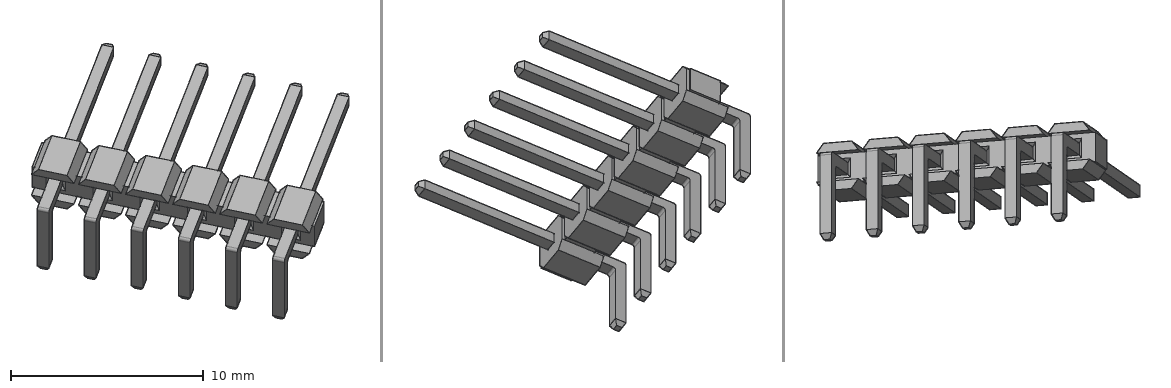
import cadquery as cq

pin_count = 6
row_length = 15.24
pitch = row_length / pin_count

bar_depth = 1.8
bar_height = 1.55

block_height = pitch
block_width = 2.3
block_flat = 1.54
block_rear_step = 0.17
block_depth = 2.51
block_rear = bar_depth + block_rear_step
block_front = block_rear - block_depth

pin_size = 0.64
pin_rear_length = 8.08
pin_total_depth = 12.42
overall_height = 5.6
bend_outer_radius = 0.15
bend_inner_radius = 0.15
tip_length = 0.3
tip_size = 0.34

pin_rear = block_rear + pin_rear_length
pin_front = pin_rear - pin_total_depth
pin_top = pin_size / 2
pin_bottom = block_height / 2 - overall_height

mouth_depth = 0.2
mouth_size = pin_size + 2 * mouth_depth

pin_places = [(i - (pin_count - 1) / 2) * pitch for i in range(pin_count)]


def taper(plane, start_size, end_size, length):
    """Square frustum that starts on the plane and runs along its normal."""
    return (
        cq.Workplane(plane)
        .rect(start_size, start_size)
        .workplane(offset=length)
        .rect(end_size, end_size)
        .loft()
    )


def make_block(x):
    """Octagonal block with its front lips reaching over and under the bar."""
    half_flat = block_flat / 2
    half_width = block_width / 2
    half_height = block_height / 2
    half_bar = bar_height / 2
    octagon = [
        (-half_flat, half_height),
        (half_flat, half_height),
        (half_width, half_bar),
        (half_width, -half_bar),
        (half_flat, -half_height),
        (-half_flat, -half_height),
        (-half_width, -half_bar),
        (-half_width, half_bar),
    ]
    block = (
        cq.Workplane("XZ", origin=(x, block_rear, 0))
        .polyline(octagon)
        .close()
        .extrude(block_depth)
    )
    lip_gap = (
        cq.Workplane("XY", origin=(x, block_front, 0))
        .box(block_width, -block_front, bar_height, centered=(True, False, True))
    )
    return block.cut(lip_gap)


def make_pin_hole(x):
    """Square through hole that widens towards the front face of the bar."""
    bore = (
        cq.Workplane("XZ", origin=(x, block_rear, 0))
        .rect(pin_size, pin_size)
        .extrude(block_rear)
    )
    mouth_plane = cq.Plane(origin=(x, 0, 0), xDir=(1, 0, 0), normal=(0, 1, 0))
    return bore.union(taper(mouth_plane, mouth_size, pin_size, mouth_depth))


def make_housing():
    """Bar and blocks as one moulding, with a hole for each pin."""
    housing = cq.Workplane("XY").box(
        row_length, bar_depth, bar_height, centered=(True, False, True)
    )
    for x in pin_places:
        housing = housing.union(make_block(x))
    for x in pin_places:
        housing = housing.cut(make_pin_hole(x))
    return housing


def make_pin(x):
    """Square wire with a right-angle bend and a tapered tip at each end."""
    rear_shoulder = pin_rear - tip_length
    lower_shoulder = pin_bottom + tip_length
    leg_rear = pin_front + pin_size
    wire = (
        cq.Workplane("YZ", origin=(x - pin_size / 2, 0, 0))
        .moveTo(rear_shoulder, pin_top)
        .lineTo(pin_front, pin_top)
        .lineTo(pin_front, lower_shoulder)
        .lineTo(leg_rear, lower_shoulder)
        .lineTo(leg_rear, -pin_top)
        .lineTo(rear_shoulder, -pin_top)
        .close()
        .extrude(pin_size)
    )
    wire = wire.edges(cq.NearestToPointSelector((x, pin_front, pin_top))).fillet(bend_outer_radius)
    wire = wire.edges(cq.NearestToPointSelector((x, leg_rear, -pin_top))).fillet(bend_inner_radius)

    rear_plane = cq.Plane(origin=(x, rear_shoulder, 0), xDir=(1, 0, 0), normal=(0, 1, 0))
    leg_middle = pin_front + pin_size / 2
    lower_plane = cq.Plane(origin=(x, leg_middle, lower_shoulder), xDir=(1, 0, 0), normal=(0, 0, -1))
    for plane in (rear_plane, lower_plane):
        wire = wire.union(taper(plane, pin_size, tip_size, tip_length))
    return wire


housing = make_housing()
pins = [make_pin(x) for x in pin_places]

result = cq.Compound.makeCompound([housing.solids().val(), *[pin.solids().val() for pin in pins]])